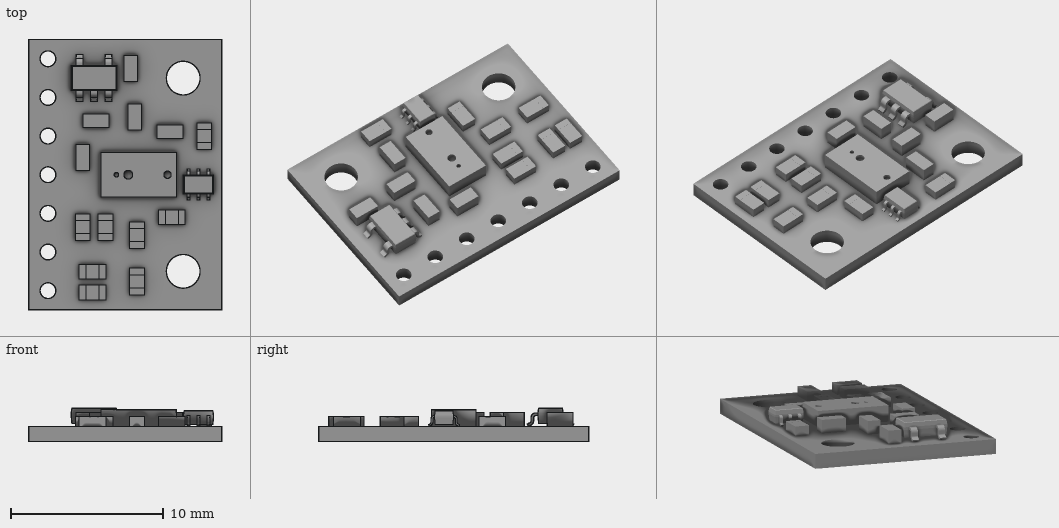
import cadquery as cq
import math

BOARD_X = 12.7
BOARD_Y = 17.78
BOARD_T = 1.0

PIN_PITCH = 2.54
PIN_COUNT = 7
PIN_HOLE_D = 1.02
PIN_ROW_X = -2 * PIN_PITCH

MOUNT_HOLE_D = 2.2
MOUNT_X = 1.5 * PIN_PITCH
MOUNT_Y = 2.5 * PIN_PITCH

CAP_L = 1.7
CAP_W = 0.88
CAP_H = 0.91
CAP_TERMINAL = 0.3

RES_L = 1.75
RES_W = 0.97
RES_H = 0.65
RES_TERMINAL = 0.45
RES_PAD_T = 0.01

CAPS_ALONG_X = [(-1.92, 3.54), (2.93, 2.83)]
CAPS_ALONG_Y = [(0.36, 6.99), (0.62, 3.80), (-2.80, 1.14)]
RESISTORS_ALONG_X = [(3.06, -2.80), (-2.15, -6.37), (-2.15, -7.74)]
RESISTORS_ALONG_Y = [(5.20, 2.54), (-2.80, -3.45), (-1.30, -3.45), (0.78, -3.97), (0.78, -7.02)]

SENSOR_X = 0.88
SENSOR_L = 4.95
SENSOR_W = 2.95
SENSOR_H = 1.1
HOLE_STRAIGHT = 0.2
SENSOR_HOLES = [(-1.46, 0.3), (-0.68, 0.58), (1.9, 0.48)]

REGULATOR = dict(
    center=(-2.05, 6.36), length=3.02, width=1.67, height=1.21, standoff=0.17,
    lead_top=0.89, lead_t=0.19, lead_w=0.45, lead_out=1.29, lead_reach=1.54, bend_r=0.13,
    ankle_z=0.36, taper=0.05, bevel=0.03,
    front_leads=(-0.95, 0, 0.95), back_leads=(-0.95, 0.95),
)

TRANSLATOR = dict(
    center=(4.81, -0.64), length=2.0, width=1.25, height=1.03, standoff=0.12,
    lead_top=0.7, lead_t=0.13, lead_w=0.2, lead_out=0.87, lead_reach=1.03, bend_r=0.07,
    ankle_z=0.23, taper=0.05, bevel=0.03,
    front_leads=(-0.65, 0, 0.65), back_leads=(-0.65, 0, 0.65),
)

FOOT_SLOPE = math.radians(28)


def block(length, width, height, x=0, y=0, z=0):
    """Box centred on (x, y) whose bottom lies at z."""
    return cq.Workplane("XY").box(length, width, height, centered=(True, True, False)).translate((x, y, z))


def make_board():
    board = block(BOARD_X, BOARD_Y, BOARD_T, z=-BOARD_T)
    first = -(PIN_COUNT - 1) / 2 * PIN_PITCH
    pins = [(PIN_ROW_X, first + i * PIN_PITCH) for i in range(PIN_COUNT)]
    mounts = [(MOUNT_X, MOUNT_Y), (MOUNT_X, -MOUNT_Y)]
    board = board.faces(">Z").workplane(origin=(0, 0, 0)).pushPoints(pins).hole(PIN_HOLE_D)
    return board.faces(">Z").workplane(origin=(0, 0, 0)).pushPoints(mounts).hole(MOUNT_HOLE_D)


def make_capacitor():
    """Ceramic block with a full-section metal cap on each end; the joints stay as edges."""
    chip = block(CAP_L - 2 * CAP_TERMINAL, CAP_W, CAP_H)
    for side in (-1, 1):
        terminal = block(CAP_TERMINAL, CAP_W, CAP_H, x=side * (CAP_L - CAP_TERMINAL) / 2)
        chip = chip.union(terminal, clean=False)
    return chip


def make_resistor():
    """Block with a thin metal film on top of each end."""
    body_h = RES_H - RES_PAD_T
    chip = block(RES_L, RES_W, body_h)
    for side in (-1, 1):
        film_x = side * (RES_L - RES_TERMINAL) / 2
        chip = chip.union(block(RES_TERMINAL, RES_W, RES_PAD_T, x=film_x, z=body_h))
    return chip


def make_sensor():
    """Plain package with round-bottomed holes along its middle."""
    sensor = block(SENSOR_L, SENSOR_W, SENSOR_H)
    bottom_z = SENSOR_H - HOLE_STRAIGHT
    for offset, diameter in SENSOR_HOLES:
        ball = cq.Workplane("XY").sphere(diameter / 2)
        ball = ball.rotate((0, 0, 0), (0, 1, 0), 90).rotate((0, 0, 0), (0, 0, 1), 90)
        ball = ball.translate((offset, 0, bottom_z))
        bore = cq.Workplane("XY", origin=(offset, 0, bottom_z)).circle(diameter / 2).extrude(HOLE_STRAIGHT)
        sensor = sensor.cut(ball, clean=False).cut(bore, clean=False)
    return sensor.translate((SENSOR_X, 0, 0))


def make_lead(chip, x, side):
    """Gull-wing lead: level, bent down through a quarter turn, then bent out into a sloping foot."""
    t = chip["lead_t"]
    inner_r = chip["bend_r"]
    outer_r = inner_r + t
    top = chip["lead_top"]
    knee_z = top - outer_r
    ankle_z = chip["ankle_z"]
    bend = math.pi / 2 - FOOT_SLOPE
    cos_b, sin_b = math.cos(bend), math.sin(bend)
    cos_h, sin_h = math.cos(bend / 2), math.sin(bend / 2)
    out_face = chip["lead_out"]
    in_face = out_face - t
    knee_y = out_face - outer_r
    ankle_y = out_face + inner_r

    foot_top = (ankle_y - inner_r * cos_b, ankle_z - inner_r * sin_b)
    foot_under = (ankle_y - outer_r * cos_b, ankle_z - outer_r * sin_b)
    run = (chip["lead_reach"] - foot_top[0]) / math.cos(FOOT_SLOPE)
    step = (run * math.cos(FOOT_SLOPE), -run * math.sin(FOOT_SLOPE))
    half_turn = math.sqrt(0.5)

    profile = (
        cq.Workplane("YZ")
        .moveTo(0, top)
        .lineTo(knee_y, top)
        .threePointArc((knee_y + outer_r * half_turn, knee_z + outer_r * half_turn), (out_face, knee_z))
        .lineTo(out_face, ankle_z)
        .threePointArc((ankle_y - inner_r * cos_h, ankle_z - inner_r * sin_h), foot_top)
        .lineTo(foot_top[0] + step[0], foot_top[1] + step[1])
        .lineTo(foot_under[0] + step[0], foot_under[1] + step[1])
        .lineTo(*foot_under)
        .threePointArc((ankle_y - outer_r * cos_h, ankle_z - outer_r * sin_h), (in_face, ankle_z))
        .lineTo(in_face, knee_z)
        .threePointArc((knee_y + inner_r * half_turn, knee_z + inner_r * half_turn), (knee_y, top - t))
        .lineTo(0, top - t)
        .close()
    )
    lead = profile.extrude(chip["lead_w"] / 2, both=True)
    if side > 0:
        return lead.translate((x, 0, 0))
    return lead.mirror("XZ").translate((x, 0, 0))


def make_chip_body(chip):
    """Moulded body: straight waist level with the leads, tapered above and below, top edges bevelled."""
    waist_bottom = chip["lead_top"] - chip["lead_t"]
    taper_in = chip["taper"]
    length, width = chip["length"], chip["width"]

    def tapered_part(start_z, end_z):
        return (
            cq.Workplane("XY", origin=(0, 0, start_z))
            .rect(length, width)
            .workplane(offset=end_z - start_z)
            .rect(length - 2 * taper_in, width - 2 * taper_in)
            .loft(ruled=True)
        )

    waist = block(length, width, chip["lead_t"], z=waist_bottom)
    upper = tapered_part(chip["lead_top"], chip["height"]).faces(">Z").chamfer(chip["bevel"])
    lower = tapered_part(waist_bottom, chip["standoff"])
    return waist.union(upper).union(lower)


def make_leaded_chip(chip):
    package = make_chip_body(chip)
    for side, row in ((-1, chip["front_leads"]), (1, chip["back_leads"])):
        for x in row:
            package = package.union(make_lead(chip, x, side))
    return package.translate((*chip["center"], 0))


def assemble():
    """Every component stands on the board's top face, at z = 0."""
    capacitor = make_capacitor()
    resistor = make_resistor()
    parts = [make_sensor(), make_leaded_chip(REGULATOR), make_leaded_chip(TRANSLATOR)]
    for chip, turn, centers in (
        (capacitor, 0, CAPS_ALONG_X),
        (capacitor, 90, CAPS_ALONG_Y),
        (resistor, 0, RESISTORS_ALONG_X),
        (resistor, 90, RESISTORS_ALONG_Y),
    ):
        turned = chip.rotate((0, 0, 0), (0, 0, 1), turn)
        parts += [turned.translate((x, y, 0)) for x, y in centers]

    assembly = make_board()
    for part in parts:
        assembly = assembly.union(part, clean=False)
    return assembly


result = assemble()